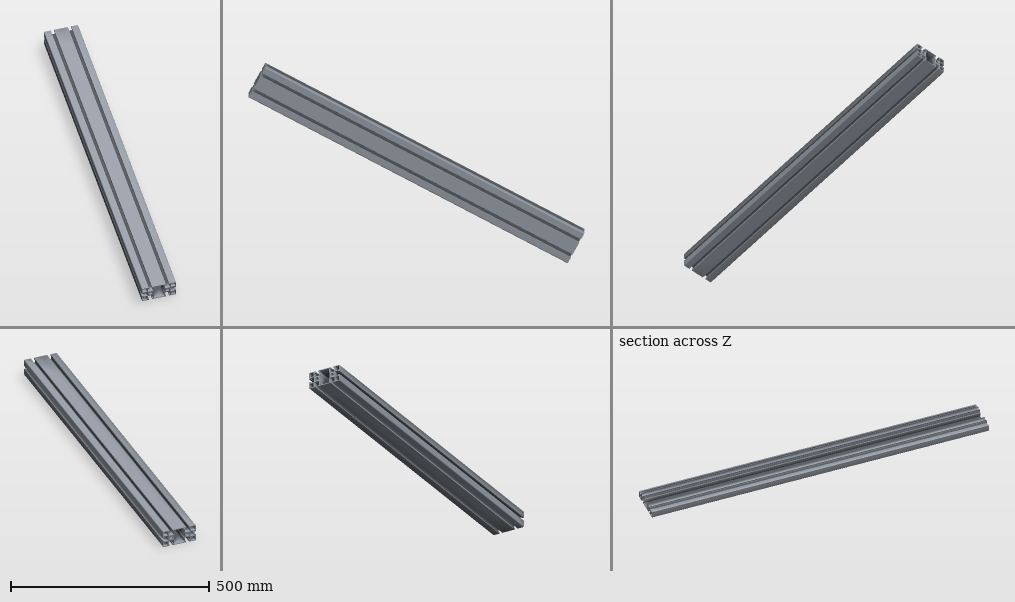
import cadquery as cq

length = 914.0
width = 90.0
height = 45.0
outer_fillet = 2.3

slot_pitch = width - height
slot_opening = 8.7
slot_inner = 14.0
slot_depth = 15.0
lip_thickness = 4.1

groove_width = 2.0
groove_depth = 0.5

skin = 2.0
web = 2.3

slot_side = (height - slot_inner) / 2
corner_cell = slot_side - skin - web

core_bore = 9.0

hollow_narrow = slot_pitch / 2 - slot_inner / 2 - web
hollow_wide = 15.0
core_zone = 7.0
hollow_recess = 2.3

X_AXIS = ((0, 0, 0), (1, 0, 0))


def extrude_full_length(outline):
    """Extrude a YZ outline over the whole length, centred on X = 0."""
    return outline.extrude(length / 2, both=True)


def bar(size_y, size_z, y=0, z=0):
    """Full-length rectangular bar centred at (y, z)."""
    return extrude_full_length(cq.Workplane("YZ").center(y, z).rect(size_y, size_z))


def t_slot():
    """T-slot cutter that opens upward at z = 0, with a V-groove along its floor."""
    pocket_height = slot_depth - lip_thickness
    throat = bar(slot_opening, slot_depth, z=-slot_depth / 2)
    pocket = bar(slot_inner, pocket_height, z=-lip_thickness - pocket_height / 2)
    groove_points = [
        (-groove_width / 2, -slot_depth),
        (groove_width / 2, -slot_depth),
        (0, -slot_depth - groove_depth),
    ]
    groove = extrude_full_length(cq.Workplane("YZ").polyline(groove_points).close())
    return throat.union(pocket).union(groove)


def cut_slots(body):
    """Two T-slots on the top and bottom faces and one on each narrow face."""
    wide_face_slot = t_slot().translate((0, 0, height / 2))
    narrow_face_slot = t_slot().translate((0, 0, width / 2))
    for angle in (0, 180):
        for y in (-slot_pitch / 2, slot_pitch / 2):
            body = body.cut(wide_face_slot.rotate(*X_AXIS, angle).translate((0, y, 0)))
    for angle in (90, -90):
        body = body.cut(narrow_face_slot.rotate(*X_AXIS, angle))
    return body


def cut_corner_cells(body):
    """Square hollow in each of the four corners."""
    inset = skin + corner_cell / 2
    for y in (inset - width / 2, width / 2 - inset):
        for z in (inset - height / 2, height / 2 - inset):
            body = body.cut(bar(corner_cell, corner_cell, y, z))
    return body


def cut_core_bores(body):
    """Round bore through each core, midway between three slot floors."""
    for y in (-slot_pitch / 2, slot_pitch / 2):
        bore = extrude_full_length(cq.Workplane("YZ").center(y, 0).circle(core_bore / 2))
        body = body.cut(bore)
    return body


def cut_central_hollow(body):
    """Central hollow whose side walls bulge inward around the T-slot pockets."""
    top = height / 2 - skin
    bulge = hollow_wide - hollow_narrow
    quarter = [
        (hollow_wide, core_zone),
        (hollow_narrow, core_zone + bulge),
        (hollow_narrow, top - hollow_recess - bulge),
        (hollow_wide, top - hollow_recess),
        (hollow_wide, top),
    ]
    upper_half = quarter + [(-y, z) for y, z in reversed(quarter)]
    lower_half = [(-y, -z) for y, z in upper_half]
    outline = cq.Workplane("YZ").polyline(upper_half + lower_half).close()
    return body.cut(extrude_full_length(outline))


body = bar(width, height).edges("|X").fillet(outer_fillet)
body = cut_slots(body)
body = cut_corner_cells(body)
body = cut_core_bores(body)
result = cut_central_hollow(body)